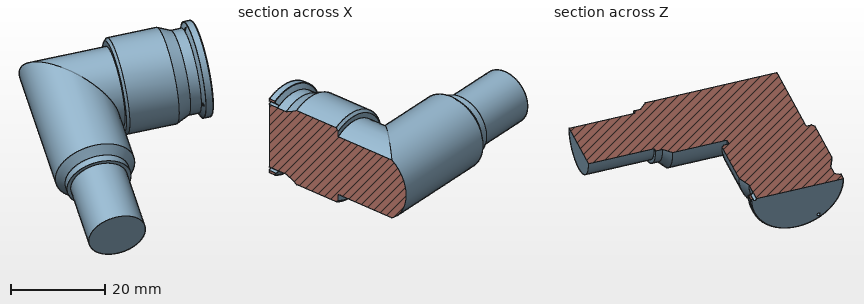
import cadquery as cq
import math

total_length_x = 49.55
total_length_y = 37.65

tube_radius = 17.5 / 2
collar_radius = 21.0 / 2
stub_end_x = total_length_x - collar_radius
collar_end_y = total_length_y - tube_radius

stub_radius = 12.5 / 2
stub_length = 14.8
shoulder_radius = 14.1 / 2
shoulder_length = 1.6
shoulder_x = stub_end_x - stub_length
taper_end_x = shoulder_x - shoulder_length
taper_start_x = taper_end_x - (tube_radius - shoulder_radius)

neck_radius = 18.5 / 2
lip_edge_chamfer = 0.2
lip_thickness = 1.7
lip_back_step = 0.15
neck_start = 2.4
neck_end = 4.75
barrel_start = 7.6
collar_length = 19.05
barrel_chamfer = 0.6

hole_count = 3
hole_diameter = 0.7
hole_circle_radius = 9.55


def mitred_elbow():
    """Solid L-shaped tube: each leg is cut on the 45 degree plane through the origin."""
    x_leg = cq.Workplane("YZ").workplane(offset=-tube_radius).circle(tube_radius)
    x_leg = x_leg.extrude(taper_start_x + tube_radius)
    y_leg = cq.Workplane("XZ").workplane(offset=tube_radius).circle(tube_radius)
    y_leg = y_leg.extrude(-total_length_y)
    corner = -tube_radius
    below_mitre = (
        cq.Workplane("XY")
        .workplane(offset=-tube_radius)
        .polyline([(corner, corner), (stub_end_x, corner), (stub_end_x, stub_end_x)])
        .close()
        .extrude(2 * tube_radius)
    )
    above_mitre = below_mitre.mirror("XZ").rotate((0, 0, 0), (0, 0, 1), 90)
    return x_leg.intersect(below_mitre).union(y_leg.intersect(above_mitre))


def stub():
    """Tapered shoulder and plain round stub, turned about the X axis."""
    profile = [
        (taper_start_x, 0),
        (taper_start_x, tube_radius),
        (taper_end_x, shoulder_radius),
        (shoulder_x, shoulder_radius),
        (shoulder_x, stub_radius),
        (stub_end_x, stub_radius),
        (stub_end_x, 0),
    ]
    return cq.Workplane("XY").polyline(profile).close().revolve(360, (0, 0, 0), (1, 0, 0))


def collar():
    """Barrel, neck and lip, turned about the Y axis."""
    barrel_end_y = collar_end_y - collar_length
    profile = [
        (0, collar_end_y),
        (collar_radius - lip_edge_chamfer, collar_end_y),
        (collar_radius, collar_end_y - lip_edge_chamfer),
        (collar_radius, collar_end_y - lip_thickness),
        (collar_radius - lip_back_step, collar_end_y - lip_thickness),
        (neck_radius, collar_end_y - neck_start),
        (neck_radius, collar_end_y - neck_end),
        (collar_radius, collar_end_y - barrel_start),
        (collar_radius, barrel_end_y + barrel_chamfer),
        (collar_radius - barrel_chamfer, barrel_end_y),
        (0, barrel_end_y),
    ]
    return cq.Workplane("XY").polyline(profile).close().revolve(360, (0, 0, 0), (0, 1, 0))


def lip_holes():
    """Cylinders that pierce the lip from its open face to the neck."""
    centres = []
    for index in range(hole_count):
        angle = 2 * math.pi * index / hole_count
        centres.append((hole_circle_radius * math.cos(angle), hole_circle_radius * math.sin(angle)))
    face = cq.Workplane("XZ").workplane(offset=-collar_end_y).pushPoints(centres)
    return face.circle(hole_diameter / 2).extrude(neck_start)


result = mitred_elbow().union(stub()).union(collar()).cut(lip_holes())